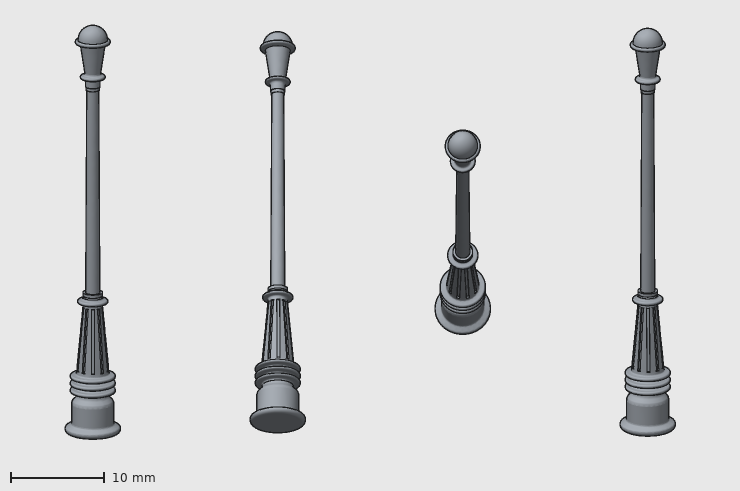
import cadquery as cq

TOTAL_HEIGHT = 45.3
COLLAR_TOP = 15.58
POLE_TOP = 38.13

FOOT_RADIUS = 2.965
FOOT_HEIGHT = 1.1
FOOT_EDGE_RADIUS = 0.4
PEDESTAL_RADIUS = 2.25
PEDESTAL_TOP = 3.15
NECK_RADIUS = 1.68

RING_COUNT = 3
RING_PITCH = 0.792
FIRST_RING_Z = 4.65
RING_RADIUS = 2.422

SHAFT_BOTTOM = FIRST_RING_Z + (RING_COUNT - 0.5) * RING_PITCH
SHAFT_BOTTOM_RADIUS = 1.745
SHAFT_TOP = 14.2
SHAFT_TOP_RADIUS = 1.05
FLUTE_COUNT = 10
FLUTE_WIDTH = 0.3
FLUTE_DEPTH = 0.23
FLUTE_BOTTOM = 6.95
FLUTE_TOP = 13.95

COLLAR_RADIUS = 1.065
COLLAR_RING_RADIUS = 1.65
COLLAR_RING_Z = 14.6
COLLAR_RING_TOP = 14.95
COLLAR_GROOVE_BOTTOM = 15.05
COLLAR_GROOVE_TOP = 15.2
COLLAR_GROOVE_RADIUS = 0.95

POLE_BOTTOM_RADIUS = 0.75
POLE_TOP_RADIUS = 0.655

SOCKET_RADIUS = 0.792
SOCKET_BOTTOM = 38.5
SOCKET_TOP = 39.1
LAMP_NECK_RADIUS = 0.72
LAMP_RING_RADIUS = 1.335
LAMP_RING_Z = 39.57
SHADE_BOTTOM = 40.05
SHADE_BOTTOM_RADIUS = 0.85
SHADE_TOP = 43.2
SHADE_TOP_RADIUS = 1.335
RIM_RADIUS = 1.88
RIM_HEIGHT = 0.4
DOME_RADIUS = 1.6

RING_EDGE_RADIUS = 0.2

UP = (0, 1)
OUTWARD = (1, 0)
INWARD = (-1, 0)


def rounded_edge(profile, radius, bottom, height):
    """Add a rim to a rising profile: flat faces joined by a half-round outer edge."""
    edge = height / 2
    return (
        profile.lineTo(radius - edge, bottom)
        .threePointArc((radius, bottom + edge), (radius - edge, bottom + height))
    )


def smooth_curve(profile, end, start_direction, end_direction):
    """Continue a profile to a point with a curve that has the given end directions."""
    return profile.spline([end], tangents=[start_direction, end_direction], includeCurrent=True)


def flared_ring(profile, radius, middle, end):
    """Add a ring whose flanks sweep out of the wall and back into it around a half-round edge."""
    edge_center = radius - RING_EDGE_RADIUS
    profile = smooth_curve(profile, (edge_center, middle - RING_EDGE_RADIUS), UP, OUTWARD)
    profile = profile.threePointArc((radius, middle), (edge_center, middle + RING_EDGE_RADIUS))
    return smooth_curve(profile, end, INWARD, UP)


def revolve(profile):
    """Close a half profile on the XZ plane and turn it around the Z axis."""
    return profile.close().revolve(360, (0, 0, 0), (0, 1, 0))


def base_blank():
    foot_flat = FOOT_RADIUS - FOOT_EDGE_RADIUS
    profile = (
        cq.Workplane("XZ")
        .lineTo(foot_flat, 0)
        .tangentArcPoint((FOOT_RADIUS, FOOT_EDGE_RADIUS), relative=False)
    )
    profile = smooth_curve(profile, (PEDESTAL_RADIUS, FOOT_HEIGHT), UP, UP)
    profile = profile.lineTo(PEDESTAL_RADIUS, PEDESTAL_TOP)
    profile = smooth_curve(profile, (NECK_RADIUS, FIRST_RING_Z - RING_PITCH / 2), UP, UP)
    for index in range(RING_COUNT):
        ring_z = FIRST_RING_Z + index * RING_PITCH
        ring_top_radius = NECK_RADIUS if index < RING_COUNT - 1 else SHAFT_BOTTOM_RADIUS
        profile = flared_ring(profile, RING_RADIUS, ring_z, (ring_top_radius, ring_z + RING_PITCH / 2))
    profile = profile.lineTo(SHAFT_TOP_RADIUS, SHAFT_TOP)
    profile = flared_ring(profile, COLLAR_RING_RADIUS, COLLAR_RING_Z, (COLLAR_RADIUS, COLLAR_RING_TOP))
    groove_middle = (COLLAR_GROOVE_BOTTOM + COLLAR_GROOVE_TOP) / 2
    profile = (
        profile.lineTo(COLLAR_RADIUS, COLLAR_GROOVE_BOTTOM)
        .threePointArc((COLLAR_GROOVE_RADIUS, groove_middle), (COLLAR_RADIUS, COLLAR_GROOVE_TOP))
        .lineTo(COLLAR_RADIUS, COLLAR_TOP)
        .lineTo(0, COLLAR_TOP)
    )
    return revolve(profile)


def shaft_radius(z):
    """Radius of the tapered shaft at height z."""
    fraction = (z - SHAFT_BOTTOM) / (SHAFT_TOP - SHAFT_BOTTOM)
    return SHAFT_BOTTOM_RADIUS + fraction * (SHAFT_TOP_RADIUS - SHAFT_BOTTOM_RADIUS)


def flute_cutter(angle):
    """Slot of constant width whose floor follows the taper of the shaft."""
    bottom_floor = shaft_radius(FLUTE_BOTTOM) - FLUTE_DEPTH
    top_floor = shaft_radius(FLUTE_TOP) - FLUTE_DEPTH
    return (
        cq.Workplane("XZ")
        .moveTo(bottom_floor, FLUTE_BOTTOM)
        .lineTo(RING_RADIUS, FLUTE_BOTTOM)
        .lineTo(RING_RADIUS, FLUTE_TOP)
        .lineTo(top_floor, FLUTE_TOP)
        .close()
        .extrude(FLUTE_WIDTH / 2, both=True)
        .rotate((0, 0, 0), (0, 0, 1), angle)
    )


def make_base():
    base = base_blank()
    for index in range(FLUTE_COUNT):
        base = base.cut(flute_cutter(index * 360 / FLUTE_COUNT))
    return base


def make_pole():
    return revolve(
        cq.Workplane("XZ")
        .moveTo(0, COLLAR_TOP)
        .lineTo(POLE_BOTTOM_RADIUS, COLLAR_TOP)
        .lineTo(POLE_TOP_RADIUS, POLE_TOP)
        .lineTo(0, POLE_TOP)
    )


def make_lamp():
    profile = (
        cq.Workplane("XZ")
        .moveTo(0, POLE_TOP)
        .lineTo(LAMP_NECK_RADIUS, POLE_TOP)
        .lineTo(LAMP_NECK_RADIUS, SOCKET_BOTTOM)
        .lineTo(SOCKET_RADIUS, SOCKET_BOTTOM)
        .lineTo(SOCKET_RADIUS, SOCKET_TOP)
    )
    profile = flared_ring(profile, LAMP_RING_RADIUS, LAMP_RING_Z, (SHADE_BOTTOM_RADIUS, SHADE_BOTTOM))
    profile = profile.lineTo(SHADE_TOP_RADIUS, SHADE_TOP)
    dome_base = TOTAL_HEIGHT - DOME_RADIUS
    profile = rounded_edge(profile, RIM_RADIUS, dome_base - RIM_HEIGHT, RIM_HEIGHT)
    dome_mid = DOME_RADIUS * 0.5**0.5
    profile = (
        profile.lineTo(DOME_RADIUS, dome_base)
        .threePointArc((dome_mid, dome_base + dome_mid), (0, TOTAL_HEIGHT))
    )
    return revolve(profile)


base = make_base()
pole = make_pole()
lamp = make_lamp()

result = cq.Compound.makeCompound([base.val(), pole.val(), lamp.val()])